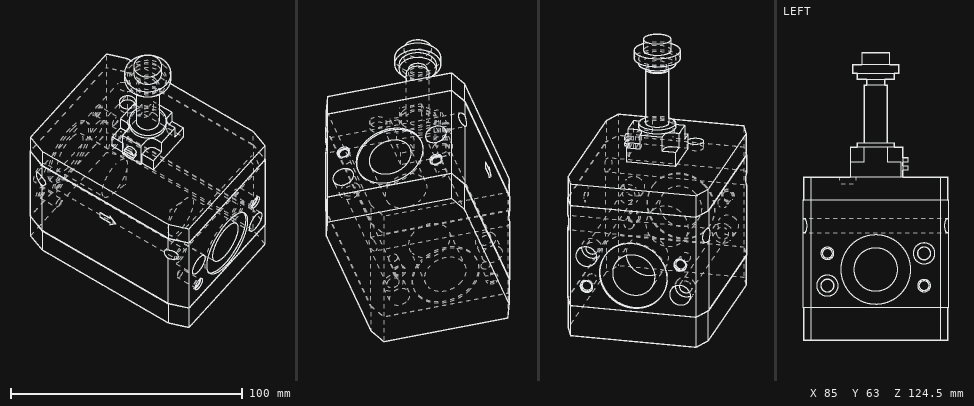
import cadquery as cq
import math

BODY_LENGTH = 85.0
BODY_WIDTH = 63.0
COVER_SIDE_INSET = 0.2
COVER_END_INSET = 0.1
CORNER_LENGTH = 8.8
CORNER_WIDTH = 3.5
LOWER_COVER_TOP = 14.1
MIDDLE_TOP = 60.6
BODY_TOP = 70.6

BASE_SIDE = 22.0
BASE_TOP = 83.5
BASE_STEP_Z = 77.1
BASE_ARM_WIDTH = 10.0
NOTCH_RADIUS = 3.1
PLATE_THICKNESS = 0.7

SCREW_DIAMETER = 5.4
SCREW_HEIGHT = 2.2
SCREW_Z = 76.3
SLOT_WIDTH = 1.6

STEM_STEPS = [
    (16.0, 85.4),
    (10.0, 110.4),
    (8.0, 112.9),
    (16.0, 115.5),
    (20.0, 119.3),
    (12.0, 124.5),
]

PORT_Z = 30.6
PORT_DIAMETER = 18.8
PORT_DEPTH = 24.9
PORT_RECESS_DIAMETER = 30.1
PORT_RECESS_DEPTH = 1.0
DRILL_POINT_ANGLE = 118.0

FASTENER_Y = 20.9
FASTENER_RISE = 7.0
BOLT_DIAMETER = 5.5
COUNTERBORE_DIAMETER = 9.2
COUNTERBORE_DEPTH = 10.0
TAPPED_DIAMETER = 4.2
TAPPED_DEPTH = 10.0
TAPPED_MOUTH_DIAMETER = 5.5
TAPPED_MOUTH_DEPTH = 1.0

CROSS_HOLE_DIAMETER = 6.2
CROSS_HOLE_X = 34.9
CROSS_HOLE_Z = 49.5
VENT_DIAMETER = 7.2
VENT_X = -19.5
VENT_Y = 12.1
VENT_DEPTH = 3.0

ARROW_TAIL_X = -2.6
ARROW_NECK_X = 2.6
ARROW_TIP_X = 5.6
ARROW_Z = 49.5
ARROW_SHAFT_WIDTH = 3.2
ARROW_HEAD_WIDTH = 6.0
ARROW_DEPTH = 0.1


def housing_layer(length, width, bottom, top):
    """Slab with four bevelled corners that start at the same lines on every layer."""
    half_x = length / 2
    half_y = width / 2
    bevel_x = BODY_LENGTH / 2 - CORNER_LENGTH
    bevel_y = BODY_WIDTH / 2 - CORNER_WIDTH
    outline = [
        (half_x, -bevel_y),
        (half_x, bevel_y),
        (bevel_x, half_y),
        (-bevel_x, half_y),
        (-half_x, bevel_y),
        (-half_x, -bevel_y),
        (-bevel_x, -half_y),
        (bevel_x, -half_y),
    ]
    return cq.Workplane("XY").workplane(offset=bottom).polyline(outline).close().extrude(top - bottom)


def housing():
    cover_length = BODY_LENGTH - 2 * COVER_END_INSET
    cover_width = BODY_WIDTH - 2 * COVER_SIDE_INSET
    lower_cover = housing_layer(cover_length, cover_width, 0, LOWER_COVER_TOP)
    middle = housing_layer(BODY_LENGTH, BODY_WIDTH, LOWER_COVER_TOP, MIDDLE_TOP)
    upper_cover = housing_layer(cover_length, cover_width, MIDDLE_TOP, BODY_TOP)
    return lower_cover.union(middle).union(upper_cover)


def pilot_base():
    """Square block with its upper corners notched and a plate on its front side."""
    height = BASE_TOP - BODY_TOP
    block = cq.Workplane("XY").workplane(offset=BODY_TOP).rect(BASE_SIDE, BASE_SIDE).extrude(height)

    notch_centre = BASE_ARM_WIDTH / 2 + BASE_SIDE / 2
    notches = (
        cq.Workplane("XY")
        .workplane(offset=BASE_STEP_Z)
        .rect(2 * notch_centre, 2 * notch_centre, forConstruction=True)
        .vertices()
        .rect(BASE_SIDE, BASE_SIDE)
        .extrude(height)
        .edges("|Z")
        .fillet(NOTCH_RADIUS)
    )
    plate = (
        cq.Workplane("XZ", origin=(0, -BASE_SIDE / 2, (BODY_TOP + BASE_TOP) / 2))
        .rect(BASE_ARM_WIDTH, height)
        .extrude(PLATE_THICKNESS)
    )
    return block.cut(notches).union(plate)


def slotted_screw():
    face = cq.Workplane("XZ", origin=(0, -BASE_SIDE / 2 - PLATE_THICKNESS, SCREW_Z))
    head = face.circle(SCREW_DIAMETER / 2).extrude(SCREW_HEIGHT)
    slot = face.rect(2 * SCREW_DIAMETER, SLOT_WIDTH).extrude(SCREW_HEIGHT)
    return head.cut(slot)


def pilot_stem():
    stem = cq.Workplane("XY")
    bottom = BASE_TOP
    for diameter, top in STEM_STEPS:
        step = cq.Workplane("XY").workplane(offset=bottom).circle(diameter / 2).extrude(top - bottom)
        stem = stem.union(step)
        bottom = top
    return stem


def end_bore(y, z, diameter, depth):
    """Flat-bottomed bore from the -X end face."""
    return cq.Workplane("YZ", origin=(-BODY_LENGTH / 2, y, z)).circle(diameter / 2).extrude(depth)


def drilled_bore(y, z, diameter, depth):
    """Bore from the -X end face with a conical drill point beyond its depth."""
    radius = diameter / 2
    point = radius / math.tan(math.radians(DRILL_POINT_ANGLE / 2))
    profile = [(0, 0), (0, radius), (depth, radius), (depth + point, 0)]
    return (
        cq.Workplane("XY", origin=(-BODY_LENGTH / 2, y, z))
        .polyline(profile)
        .close()
        .revolve(360, (0, 0), (1, 0))
    )


def end_face_cuts():
    """Port, counterbored bolt holes and tapped holes of the -X end face."""
    cuts = end_bore(0, PORT_Z, PORT_RECESS_DIAMETER, PORT_RECESS_DEPTH)
    cuts = cuts.union(drilled_bore(0, PORT_Z, PORT_DIAMETER, PORT_DEPTH))
    for side in (-1, 1):
        y = side * FASTENER_Y
        bolt_z = PORT_Z - side * FASTENER_RISE
        tapped_z = PORT_Z + side * FASTENER_RISE
        cuts = cuts.union(end_bore(y, bolt_z, BOLT_DIAMETER, BODY_LENGTH))
        cuts = cuts.union(end_bore(y, bolt_z, COUNTERBORE_DIAMETER, COUNTERBORE_DEPTH))
        cuts = cuts.union(drilled_bore(y, tapped_z, TAPPED_DIAMETER, TAPPED_DEPTH))
        cuts = cuts.union(end_bore(y, tapped_z, TAPPED_MOUTH_DIAMETER, TAPPED_MOUTH_DEPTH))
    return cuts


def cross_holes():
    return (
        cq.Workplane("XZ", origin=(0, BODY_WIDTH / 2, CROSS_HOLE_Z))
        .pushPoints([(-CROSS_HOLE_X, 0), (CROSS_HOLE_X, 0)])
        .circle(CROSS_HOLE_DIAMETER / 2)
        .extrude(BODY_WIDTH)
    )


def vent():
    return (
        cq.Workplane("XY", origin=(VENT_X, VENT_Y, BODY_TOP))
        .circle(VENT_DIAMETER / 2)
        .extrude(-VENT_DEPTH)
    )


def flow_arrow():
    shaft = ARROW_SHAFT_WIDTH / 2
    head = ARROW_HEAD_WIDTH / 2
    outline = [
        (ARROW_TAIL_X, -shaft),
        (ARROW_NECK_X, -shaft),
        (ARROW_NECK_X, -head),
        (ARROW_TIP_X, 0),
        (ARROW_NECK_X, head),
        (ARROW_NECK_X, shaft),
        (ARROW_TAIL_X, shaft),
    ]
    return (
        cq.Workplane("XZ", origin=(0, -BODY_WIDTH / 2, ARROW_Z))
        .polyline(outline)
        .close()
        .extrude(-ARROW_DEPTH)
    )


near_end = end_face_cuts()
far_end = near_end.mirror("YZ")

result = (
    housing()
    .union(pilot_base())
    .union(slotted_screw())
    .union(pilot_stem())
    .cut(near_end)
    .cut(far_end)
    .cut(cross_holes())
    .cut(vent())
    .cut(flow_arrow())
)